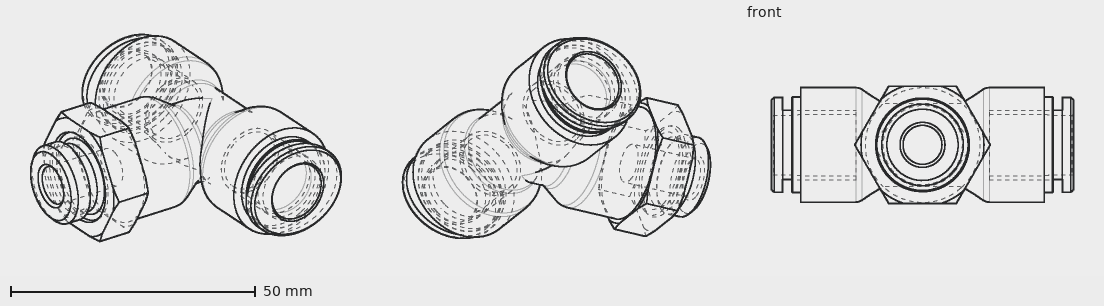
import cadquery as cq
import math


arm_radius = 11.75
neck_radius = 8.45
arm_end = 24.9
taper_outer = 13.0
taper_inner = 7.9
outer_blend = 2.15
inner_blend = 2.0
select_margin = 0.6

run_half = 30.9
flange_width = 22.5
flange_height = 19.4
flange_thickness = 2.3
flange_chamfer = 0.55
collar_diameter = 19.6
collar_length = 1.85
collar_chamfer = 0.25
sleeve_diameter = 14.2
tube_bore = 12.2
bore_chamfer = 0.4
relief_bore = 12.6
relief_start = 4.0
relief_end = 6.1
socket_floor = 13.6

hex_flats = 24.0
hex_chamfer_diameter = 25.15
hex_chamfer_length = 0.45
hex_end = 33.0
recess_diameter = 18.65
recess_mouth_diameter = 19.15
recess_depth = 0.75
recess_floor = -hex_end + recess_depth
groove_diameter = 14.6
groove_start = 33.5
groove_flare = 0.8
thread_diameter = 16.7
thread_start = 35.9
thread_entry = 0.6
thread_chamfer = 1.05
stud_end = 40.0
stud_bore = 8.0
stud_bore_chamfer = 0.6
stud_bore_floor = arm_end


def cylinder_x(diameter, start, end):
    """Cylinder along X between two stations."""
    return cq.Workplane("YZ", origin=(start, 0, 0)).circle(diameter / 2).extrude(end - start)


def revolve_x(points):
    """Solid of revolution about X from (x, radius) points."""
    return cq.Workplane("XY").polyline(points).close().revolve(360, (0, 0, 0), (1, 0, 0))


def revolve_y(points):
    """Solid of revolution about Y from (radius, y) points."""
    return cq.Workplane("XY").polyline(points).close().revolve(360, (0, 0, 0), (0, 1, 0))


def blend_ring(arm, station, radius):
    """Round the circular edge of the arm at the given X station."""
    slab = cq.selectors.BoxSelector(
        (station - select_margin, -arm_radius, -arm_radius),
        (station + select_margin, arm_radius, arm_radius),
    )
    return arm.edges(slab).fillet(radius)


def make_arm():
    """Arm along +X: slim neck, blended taper and wide barrel."""
    arm = revolve_x([
        (0, 0),
        (0, neck_radius),
        (taper_inner, neck_radius),
        (taper_outer, arm_radius),
        (arm_end, arm_radius),
        (arm_end, 0),
    ])
    arm = blend_ring(arm, taper_inner, inner_blend)
    return blend_ring(arm, taper_outer, outer_blend)


def make_tee():
    """Tee body with a blind socket in each run end."""
    arm = make_arm()
    tee = arm
    for angle in (180, -90):
        tee = tee.union(arm.rotate((0, 0, 0), (0, 0, 1), angle))
    for end in (-1, 1):
        tee = tee.cut(cylinder_x(sleeve_diameter, end * socket_floor, end * arm_end))
    return tee


def make_collar():
    """Ring on the -X end face of the tee, around the button sleeve."""
    ring = cylinder_x(collar_diameter, -arm_end - collar_length, -arm_end)
    ring = ring.faces("<X").edges().chamfer(collar_chamfer)
    return ring.cut(cylinder_x(sleeve_diameter, -arm_end - collar_length, -arm_end))


def make_button():
    """Release button at the -X end: oval flange and a sleeve down to the socket floor."""
    flange = (
        cq.Workplane("YZ", origin=(-run_half, 0, 0))
        .ellipse(flange_width / 2, flange_height / 2)
        .extrude(flange_thickness)
        .faces("<X").edges().chamfer(flange_chamfer)
    )
    button = flange.union(cylinder_x(sleeve_diameter, -run_half + flange_thickness, -socket_floor))
    bore = revolve_x([
        (-run_half, 0),
        (-run_half, tube_bore / 2 + bore_chamfer),
        (-run_half + bore_chamfer, tube_bore / 2),
        (-run_half + relief_start, tube_bore / 2),
        (-run_half + relief_end, relief_bore / 2),
        (-socket_floor, relief_bore / 2),
        (-socket_floor, 0),
    ])
    return button.cut(bore)


def make_hexagon():
    """Hexagon with its corners turned down at both ends and a dished recess in its outer face."""
    corner_radius = hex_flats / 2 / math.cos(math.pi / 6)
    hexagon = (
        cq.Workplane("XZ", origin=(0, -arm_end, 0))
        .polygon(6, 2 * corner_radius)
        .extrude(hex_end - arm_end)
    )
    corner_envelope = revolve_y([
        (0, -arm_end),
        (hex_chamfer_diameter / 2, -arm_end),
        (corner_radius, -arm_end - hex_chamfer_length),
        (corner_radius, -hex_end + hex_chamfer_length),
        (hex_chamfer_diameter / 2, -hex_end),
        (0, -hex_end),
    ])
    recess = revolve_y([
        (0, recess_floor),
        (recess_diameter / 2, recess_floor),
        (recess_mouth_diameter / 2, -hex_end),
        (0, -hex_end),
    ])
    return hexagon.intersect(corner_envelope).cut(recess)


def make_stud():
    """Hexagon and grooved threaded end as one body, with a blind bore."""
    thread = revolve_y([
        (0, recess_floor),
        (groove_diameter / 2 + groove_flare, recess_floor),
        (groove_diameter / 2, -groove_start),
        (groove_diameter / 2, -thread_start + thread_entry),
        (thread_diameter / 2, -thread_start),
        (thread_diameter / 2, -stud_end + thread_chamfer),
        (thread_diameter / 2 - thread_chamfer, -stud_end),
        (0, -stud_end),
    ])
    bore = revolve_y([
        (0, -stud_bore_floor),
        (stud_bore / 2, -stud_bore_floor),
        (stud_bore / 2, -stud_end + stud_bore_chamfer),
        (stud_bore / 2 + stud_bore_chamfer, -stud_end),
        (0, -stud_end),
    ])
    return make_hexagon().union(thread).cut(bore)


tee = make_tee()
stud = make_stud()
run_end_angles = (0, 180)
collars = [make_collar().rotate((0, 0, 0), (0, 0, 1), angle) for angle in run_end_angles]
buttons = [make_button().rotate((0, 0, 0), (0, 0, 1), angle) for angle in run_end_angles]

result = cq.Compound.makeCompound(
    [tee.val(), stud.val(), *[collar.val() for collar in collars], *[button.val() for button in buttons]]
)